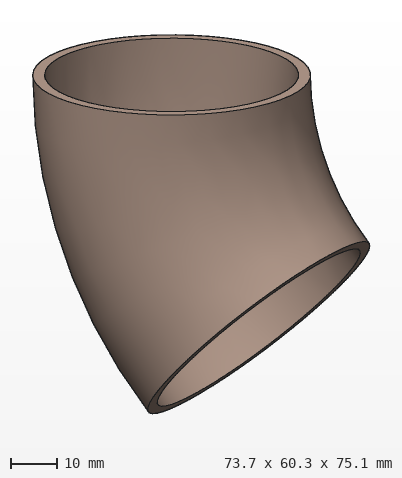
import cadquery as cq

outer_diameter = 60.3
wall_thickness = 2.6
bend_radius = 76.0
bend_angle = 45.0

outer_radius = outer_diameter / 2
inner_radius = outer_radius - wall_thickness

wall_section = cq.Workplane("XY").circle(outer_radius).circle(inner_radius)

axis_start = (bend_radius, 0)
axis_end = (bend_radius, -1)
result = wall_section.revolve(bend_angle, axis_start, axis_end)